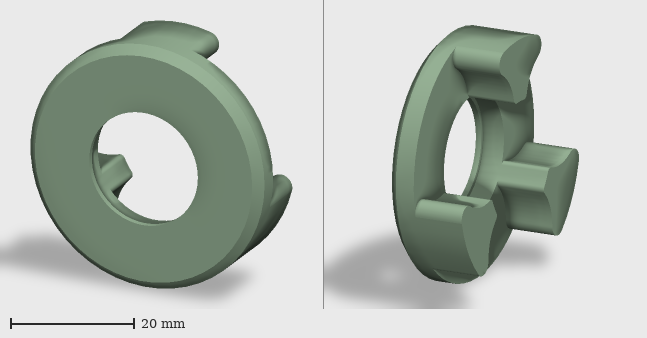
import cadquery as cq
import math

outer_radius = 21.0
ring_thickness = 4.8
total_depth = 13.3
rim_chamfer = 1.5

lip_radius = 9.75
lip_thickness = 1.0
bore_radius = 10.45

leg_count = 3
inner_arc_half_angle = math.radians(7)
inner_round = 0.85
outer_round = 2.0
outer_arc_half_angle = math.radians(16.2)
scallop_radius = 8.4

gap_overshoot = 4.2


def polar_point(radius, angle):
    """Profile point at a radius and an angle from the leg's centre line."""
    return radius * math.sin(angle), radius * math.cos(angle)


def midpoint(start, end):
    return (start[0] + end[0]) / 2, (start[1] + end[1]) / 2


def point_towards(start, end, distance):
    """Point at the given distance from start along the line to end."""
    length = math.dist(start, end)
    return tuple(a + (b - a) * distance / length for a, b in zip(start, end))


def circle_intersection(center_a, radius_a, center_b, radius_b):
    """Crossing point of two circles on the left of the line from a to b."""
    span = math.dist(center_a, center_b)
    along = (radius_a**2 - radius_b**2 + span**2) / (2 * span)
    aside = math.sqrt(radius_a**2 - along**2)
    dx = (center_b[0] - center_a[0]) / span
    dy = (center_b[1] - center_a[1]) / span
    return center_a[0] + along * dx - aside * dy, center_a[1] + along * dy + aside * dx


def make_tube():
    """Full-depth tube with the lip at its chamfered front end."""
    tube = cq.Workplane("XZ").circle(outer_radius).circle(lip_radius).extrude(-total_depth)
    tube = tube.faces("<Y").edges(cq.selectors.RadiusNthSelector(-1)).chamfer(rim_chamfer)
    bore_depth = total_depth - lip_thickness
    bore = cq.Workplane("XZ", origin=(0, lip_thickness, 0)).circle(bore_radius).extrude(-bore_depth)
    return tube.cut(bore)


def leg_flank():
    """Points along one flank of the +Z leg, from bore to rim: ends and middles of its three arcs."""
    inner_center = polar_point(bore_radius + inner_round, inner_arc_half_angle)
    outer_center = polar_point(outer_radius - outer_round, outer_arc_half_angle)
    scallop_center = circle_intersection(
        outer_center, scallop_radius + outer_round, inner_center, scallop_radius + inner_round
    )
    bore_end = polar_point(bore_radius, inner_arc_half_angle)
    scallop_start = point_towards(inner_center, scallop_center, inner_round)
    inner_round_middle = point_towards(inner_center, midpoint(bore_end, scallop_start), inner_round)
    scallop_end = point_towards(outer_center, scallop_center, outer_round)
    scallop_middle = point_towards(scallop_center, midpoint(scallop_start, scallop_end), scallop_radius)
    outer_round_middle = (outer_center[0] + outer_round, outer_center[1])
    rim_end = polar_point(outer_radius, outer_arc_half_angle)
    return (
        bore_end,
        inner_round_middle,
        scallop_start,
        scallop_middle,
        scallop_end,
        outer_round_middle,
        rim_end,
    )


def make_gap():
    """Solid filling the space from the +Z leg to the next leg towards +X."""
    pitch = 2 * math.pi / leg_count

    def mirrored(point):
        """The same point on the facing flank of the next leg."""
        return polar_point(math.hypot(*point), pitch - math.atan2(*point))

    near = leg_flank()
    far = [mirrored(point) for point in near]
    inside = polar_point(bore_radius - gap_overshoot, inner_arc_half_angle)
    outside_radius = outer_radius + gap_overshoot
    outside = polar_point(outside_radius, outer_arc_half_angle)

    outline = (
        cq.Workplane("XZ", origin=(0, ring_thickness, 0))
        .moveTo(*inside)
        .lineTo(*near[0])
        .threePointArc(near[1], near[2])
        .threePointArc(near[3], near[4])
        .threePointArc(near[5], near[6])
        .lineTo(*outside)
        .threePointArc(polar_point(outside_radius, pitch / 2), mirrored(outside))
        .lineTo(*far[6])
        .threePointArc(far[5], far[4])
        .threePointArc(far[3], far[2])
        .threePointArc(far[1], far[0])
        .lineTo(*mirrored(inside))
        .close()
    )
    return outline.extrude(ring_thickness - total_depth)


result = make_tube()
gap = make_gap()
for index in range(leg_count):
    result = result.cut(gap.rotate((0, 0, 0), (0, 1, 0), index * 360 / leg_count))